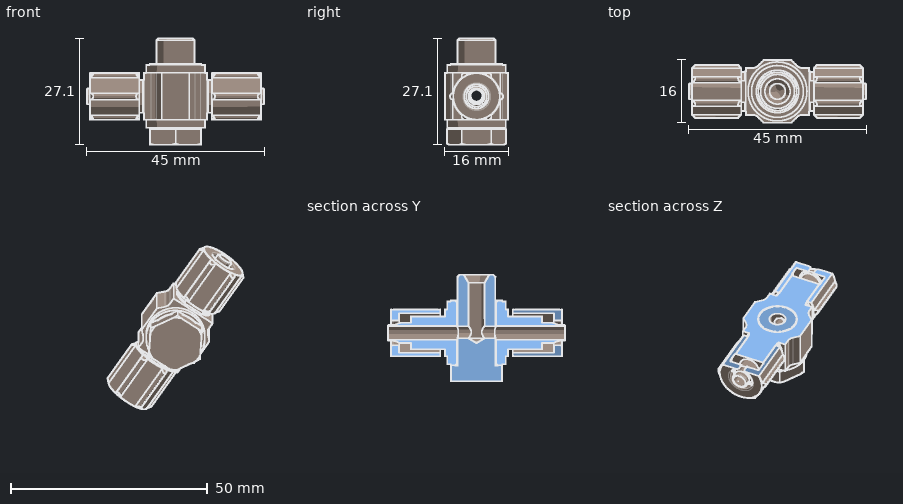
import cadquery as cq
import math


BLOCK_SIZE = 16.0
BLOCK_HEIGHT = 11.95
ARM_WIDTH = 11.95
BOSS_FLAT = 6.95
BOSS_ROOT_RADIUS = 2.0
COLLAR_DIAMETER = 15.0
COLLAR_Z = 8.0
RIM_DIAMETER = 13.2
RIM_Z = 8.3
BOLT_HOLE_DIAMETER = 9.8
BOLT_HOLE_MOUTH = 10.8

ROOT_COLLAR_DIAMETER = 10.15
ROOT_COLLAR_LENGTH = 0.3
NECK_DIAMETER = 10.0
NECK_HEIGHT = 8.4
NECK_END = 16.65
BARB_DIAMETER = 4.1
BARB_ROOT_DIAMETER = 5.2
BARB_CONE_START = 19.55
BARB_CONE_END = 20.95
BARB_END = 22.5
BARB_ROUND = 0.3
RUN_BORE = 3.4

NUT_INNER_FACE = 9.2
NUT_OUTER_FACE = 21.75
NUT_DIAMETER = 11.95
NUT_MOUTH = 6.2
NUT_MOUTH_ROUND = 0.4
NUT_BORE_END = 19.6
RIB_COUNT = 6
RIB_RADIUS = 0.8
RIB_TIP_DIAMETER = 13.5
NUT_END_CHAMFER = 0.85

SHANK_DIAMETER = 9.7
SHANK_TOP = 14.8
SHANK_CHAMFER = 0.55
HEAD_BOTTOM = -12.3
HEAD_ACROSS_FLATS = 13.0
HEAD_CHAMFER_DIAMETER = 13.95
HEAD_CHAMFER_ANGLE = 30.0
BOLT_BORE = 4.0
BOLT_BORE_BOTTOM = -1.35
DRILL_POINT_ANGLE = 118.0
SOCKET_DIAMETER = 6.45
SOCKET_CONE_ANGLE = 60.0
CROSS_HOLE_DIAMETER = 3.0
CROSS_HOLE_Z = 0.2


def z_cylinder(diameter, bottom, top):
    return cq.Workplane("XY").workplane(offset=bottom).circle(diameter / 2).extrude(top - bottom)


def x_cylinder(diameter, start, end):
    return cq.Workplane("YZ").workplane(offset=start).circle(diameter / 2).extrude(end - start)


def cone_height(large_diameter, small_diameter, full_angle):
    return (large_diameter - small_diameter) / 2 / math.tan(math.radians(full_angle / 2))


def make_block():
    """Cross-shaped block: a bar along X with a chamfered boss on each side."""
    half_size = BLOCK_SIZE / 2
    half_flat = BOSS_FLAT / 2
    half_width = ARM_WIDTH / 2
    boss_root = half_flat + half_size - half_width
    block = (
        cq.Workplane("XY")
        .workplane(offset=-BLOCK_HEIGHT / 2)
        .polyline([
            (half_size, -half_width),
            (half_size, half_width),
            (boss_root, half_width),
            (half_flat, half_size),
            (-half_flat, half_size),
            (-boss_root, half_width),
            (-half_size, half_width),
            (-half_size, -half_width),
            (-boss_root, -half_width),
            (-half_flat, -half_size),
            (half_flat, -half_size),
            (boss_root, -half_width),
        ])
        .close()
        .extrude(BLOCK_HEIGHT)
    )
    margin = 0.05
    for side_x in (-1, 1):
        for side_y in (-1, 1):
            root = cq.selectors.BoxSelector(
                (side_x * (boss_root - margin), side_y * (half_width - margin), -margin),
                (side_x * (boss_root + margin), side_y * (half_width + margin), margin),
            )
            block = block.edges(root).fillet(BOSS_ROOT_RADIUS)
    return block


def make_arm():
    """Neck and hose barb on the +X side, solid, starting at the centre."""
    root_end = BLOCK_SIZE / 2 + ROOT_COLLAR_LENGTH
    neck = x_cylinder(ROOT_COLLAR_DIAMETER, 0, root_end).union(x_cylinder(NECK_DIAMETER, 0, NECK_END))
    flats = cq.Workplane("XY").box(2 * NECK_END, 2 * NECK_DIAMETER, NECK_HEIGHT)
    barb = x_cylinder(BARB_DIAMETER, 0, BARB_END).faces(">X").edges().fillet(BARB_ROUND)
    barb_root = (
        cq.Workplane("XY")
        .moveTo(NECK_END, 0)
        .lineTo(NECK_END, BARB_ROOT_DIAMETER / 2)
        .lineTo(BARB_CONE_START, BARB_ROOT_DIAMETER / 2)
        .lineTo(BARB_CONE_END, BARB_DIAMETER / 2)
        .lineTo(BARB_CONE_END, 0)
        .close()
        .revolve(360, (0, 0, 0), (1, 0, 0))
    )
    return neck.intersect(flats).union(barb).union(barb_root)


def make_bolt_hole():
    """Hole for the bolt, widened by a 45 degree cone at both mouths."""
    hole_radius = BOLT_HOLE_DIAMETER / 2
    mouth_radius = BOLT_HOLE_MOUTH / 2
    straight_z = RIM_Z - (mouth_radius - hole_radius)
    return (
        cq.Workplane("XZ")
        .polyline([
            (0, -RIM_Z),
            (mouth_radius, -RIM_Z),
            (hole_radius, -straight_z),
            (hole_radius, straight_z),
            (mouth_radius, RIM_Z),
            (0, RIM_Z),
        ])
        .close()
        .revolve(360, (0, 0, 0), (0, 1, 0))
    )


def make_housing():
    """Block with both collars, both arms, the run bore and the bolt hole."""
    arm = make_arm()
    return (
        make_block()
        .union(z_cylinder(COLLAR_DIAMETER, -COLLAR_Z, COLLAR_Z))
        .union(z_cylinder(RIM_DIAMETER, -RIM_Z, RIM_Z))
        .union(arm)
        .union(arm.mirror("YZ"))
        .cut(x_cylinder(RUN_BORE, -BARB_END, BARB_END))
        .cut(make_bolt_hole())
    )


def make_nut(side):
    """Ribbed nut on the +X side (side = 1) or the -X side (side = -1)."""
    length = NUT_OUTER_FACE - NUT_INNER_FACE
    nut = x_cylinder(NUT_DIAMETER, NUT_INNER_FACE, NUT_OUTER_FACE)
    rib_centre = RIB_TIP_DIAMETER / 2 - RIB_RADIUS
    ribs = (
        cq.Workplane("YZ")
        .workplane(offset=NUT_INNER_FACE)
        .polarArray(rib_centre, 0, 360, RIB_COUNT)
        .circle(RIB_RADIUS)
        .extrude(length)
    )
    envelope = x_cylinder(RIB_TIP_DIAMETER, NUT_INNER_FACE, NUT_OUTER_FACE)
    envelope = envelope.faces("<X or >X").edges().chamfer(NUT_END_CHAMFER)
    nut = (
        nut.union(ribs)
        .intersect(envelope)
        .cut(x_cylinder(NUT_MOUTH, NUT_INNER_FACE, NUT_OUTER_FACE))
    )
    smallest_circle = cq.selectors.RadiusNthSelector(0)
    nut = nut.faces(">X").edges("%CIRCLE").edges(smallest_circle).fillet(NUT_MOUTH_ROUND)
    nut = nut.cut(x_cylinder(NECK_DIAMETER, NUT_INNER_FACE, NUT_BORE_END))
    return nut if side > 0 else nut.mirror("YZ")


def make_head():
    """Hexagon with corners on the Y axis and its lower corners turned off."""
    across_corners = HEAD_ACROSS_FLATS / math.cos(math.pi / 6)
    height = -RIM_Z - HEAD_BOTTOM
    head = (
        cq.Workplane("XY")
        .workplane(offset=HEAD_BOTTOM)
        .transformed(rotate=(0, 0, 90))
        .polygon(6, across_corners)
        .extrude(height)
    )
    rise = (across_corners - HEAD_CHAMFER_DIAMETER) / 2 * math.tan(math.radians(HEAD_CHAMFER_ANGLE))
    turned = (
        cq.Workplane("XZ")
        .polyline([
            (0, HEAD_BOTTOM),
            (HEAD_CHAMFER_DIAMETER / 2, HEAD_BOTTOM),
            (across_corners / 2, HEAD_BOTTOM + rise),
            (across_corners / 2, -RIM_Z),
            (0, -RIM_Z),
        ])
        .close()
        .revolve(360, (0, 0, 0), (0, 1, 0))
    )
    return head.intersect(turned)


def make_bolt_bore():
    """Blind bore with a drill-point bottom and a conical mouth."""
    bore_radius = BOLT_BORE / 2
    point_depth = cone_height(BOLT_BORE, 0, DRILL_POINT_ANGLE)
    socket_depth = cone_height(SOCKET_DIAMETER, BOLT_BORE, SOCKET_CONE_ANGLE)
    return (
        cq.Workplane("XZ")
        .polyline([
            (0, BOLT_BORE_BOTTOM - point_depth),
            (bore_radius, BOLT_BORE_BOTTOM),
            (bore_radius, SHANK_TOP - socket_depth),
            (SOCKET_DIAMETER / 2, SHANK_TOP),
            (0, SHANK_TOP),
        ])
        .close()
        .revolve(360, (0, 0, 0), (0, 1, 0))
    )


def make_bolt():
    """Hollow bolt: hexagonal head, plain shank, blind bore and a cross hole along the run."""
    shank = z_cylinder(SHANK_DIAMETER, -RIM_Z, SHANK_TOP).faces(">Z").edges().chamfer(SHANK_CHAMFER)
    cross_hole = x_cylinder(CROSS_HOLE_DIAMETER, -SHANK_DIAMETER, SHANK_DIAMETER)
    return (
        make_head()
        .union(shank)
        .cut(make_bolt_bore())
        .cut(cross_hole.translate((0, 0, CROSS_HOLE_Z)))
    )


housing = make_housing()
bolt = make_bolt()
nuts = [make_nut(side) for side in (-1, 1)]

result = cq.Compound.makeCompound([housing.val(), bolt.val(), *[nut.val() for nut in nuts]])